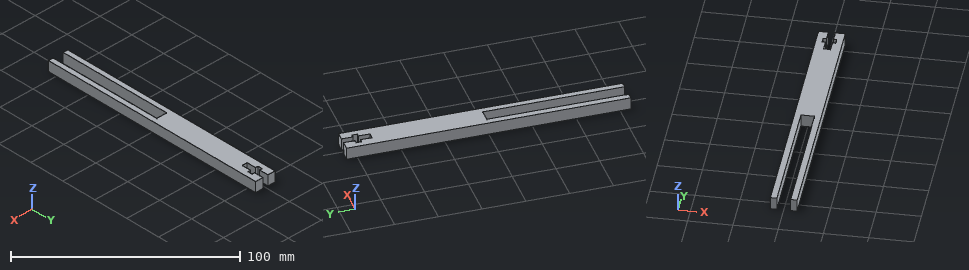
import cadquery as cq

length = 130.0
width = 12.0
thickness = 6.0

fork_slot_width = width / 2
fork_slot_length = length / 2

notch_width = 3.0
notch_depth = 13.0
cross_arm_span = 6.0
cross_arm_height = 2.5


def through_cut(size_x, y_start, y_end):
    """Full-thickness rectangular cutter, centred on X."""
    size_y = y_end - y_start
    return cq.Workplane("XY").box(size_x, size_y, thickness).translate((0, (y_start + y_end) / 2, 0))


y_min = -length / 2
y_max = length / 2
cross_arm_top = y_max - notch_depth / 2 + cross_arm_height / 2

bar = cq.Workplane("XY").box(width, length, thickness)
fork_slot = through_cut(fork_slot_width, y_min, y_min + fork_slot_length)
notch = through_cut(notch_width, y_max - notch_depth, y_max)
cross_arms = through_cut(cross_arm_span, cross_arm_top - cross_arm_height, cross_arm_top)

result = bar.cut(fork_slot).cut(notch).cut(cross_arms)